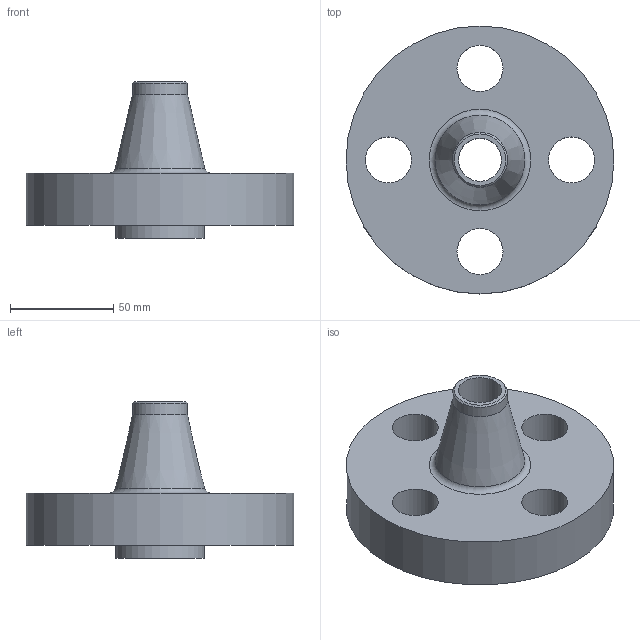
import cadquery as cq

flange_diameter = 130.05
flange_thickness = 25.4
face_diameter = 42.9
face_height = 6.35

overall_height = 76.2
hub_base_diameter = 44.5
hub_fillet_radius = 3.0
pipe_diameter = 26.7
pipe_stub_length = 6.35
bore_diameter = 20.9
weld_chamfer = 0.8

bolt_hole_diameter = 22.35
bolt_circle_diameter = 88.9
bolt_hole_count = 4

flange_bottom = face_height
flange_top = flange_bottom + flange_thickness
stub_bottom = overall_height - pipe_stub_length


def make_disc():
    """Flange disc with the raised face below it."""
    face = cq.Workplane("XY").circle(face_diameter / 2).extrude(face_height)
    disc = (
        cq.Workplane("XY")
        .workplane(offset=flange_bottom)
        .circle(flange_diameter / 2)
        .extrude(flange_thickness)
    )
    return face.union(disc)


def make_neck():
    """Tapered hub ending in a short straight pipe stub with a chamfered rim."""
    profile = (
        cq.Workplane("XZ")
        .moveTo(0, flange_top)
        .lineTo(hub_base_diameter / 2, flange_top)
        .lineTo(pipe_diameter / 2, stub_bottom)
        .lineTo(pipe_diameter / 2, overall_height)
        .lineTo(0, overall_height)
        .close()
    )
    neck = profile.revolve(360, (0, 0, 0), (0, 1, 0))
    return neck.faces(">Z").edges().chamfer(weld_chamfer)


def fillet_hub_root(body):
    """Round the inner corner where the hub meets the top of the disc."""
    disc_top_face = cq.selectors.NearestToPointSelector((flange_diameter / 2, 0, flange_top))
    hub_root = cq.selectors.RadiusNthSelector(0)
    return body.faces("+Z").faces(disc_top_face).edges(hub_root).fillet(hub_fillet_radius)


def drill_bore(body):
    """Through bore on the flange axis."""
    bore = cq.Workplane("XY").circle(bore_diameter / 2).extrude(overall_height)
    return body.cut(bore)


def drill_bolt_holes(body):
    """Ring of plain holes through the disc."""
    holes = (
        cq.Workplane("XY")
        .workplane(offset=flange_bottom)
        .polarArray(bolt_circle_diameter / 2, 0, 360, bolt_hole_count)
        .circle(bolt_hole_diameter / 2)
        .extrude(flange_thickness)
    )
    return body.cut(holes)


body = fillet_hub_root(make_disc().union(make_neck()))
result = drill_bolt_holes(drill_bore(body))